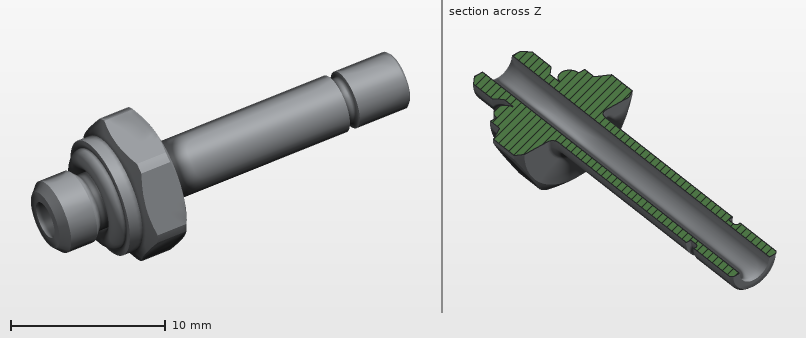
import cadquery as cq
import math

length = 26.0
bore_radius = 1.25

thread_radius = 2.5
neck_radius = 1.95
thread_chamfer = thread_radius - neck_radius
thread_end = 2.47

flange_radius = 4.0
flange_start = 4.05
ring_outer_radius = 3.48
ring_section_radius = (ring_outer_radius - neck_radius) / 2
ring_center_radius = neck_radius + ring_section_radius

hex_across_flats = 9.0
hex_corner_radius = 10.0 / 2
hex_start = 5.0
hex_end = 8.03
hex_rear_face_radius = 4.42
hex_chamfer_slope = math.tan(math.radians(30))

tube_radius = 1.98
tube_root_fillet = 0.5
tube_end_chamfer = 0.18

groove_radius = 3.2 / 2
groove_start = 21.45
groove_end = 22.18
groove_fillet = 0.2

fillet_mid_offset = 1 - math.sqrt(0.5)


def revolve_about_axis(points):
    """Revolve a closed (radius, Y) outline around the Y axis."""
    return cq.Workplane("XY").polyline(points).close().revolve(360, (0, 0, 0), (0, 1, 0))


def make_front_end():
    """Chamfered thread, neck and flange."""
    return revolve_about_axis([
        (0, 0),
        (thread_radius - thread_chamfer, 0),
        (thread_radius, thread_chamfer),
        (thread_radius, thread_end),
        (neck_radius, thread_end + thread_chamfer),
        (neck_radius, flange_start),
        (flange_radius, flange_start),
        (flange_radius, hex_start),
        (0, hex_start),
    ])


def make_sealing_ring():
    """Round-section ring sunk into the flange face up to its middle."""
    return (
        cq.Workplane("XY")
        .center(ring_center_radius, flange_start)
        .circle(ring_section_radius)
        .revolve(360, (-ring_center_radius, 0, 0), (-ring_center_radius, 1, 0))
    )


def make_hexagon():
    """Hexagonal prism trimmed by a turned envelope that chamfers both ends."""
    prism = (
        cq.Workplane("XZ", origin=(0, hex_start, 0))
        .polygon(6, hex_across_flats / math.cos(math.radians(30)))
        .extrude(hex_start - hex_end)
    )
    front_chamfer = (hex_corner_radius - flange_radius) * hex_chamfer_slope
    rear_chamfer = (hex_corner_radius - hex_rear_face_radius) * hex_chamfer_slope
    envelope = revolve_about_axis([
        (0, hex_start),
        (flange_radius, hex_start),
        (hex_corner_radius, hex_start + front_chamfer),
        (hex_corner_radius, hex_end - rear_chamfer),
        (hex_rear_face_radius, hex_end),
        (0, hex_end),
    ])
    return prism.intersect(envelope)


def make_tube():
    """Tube with a concave root fillet, a retaining groove and a chamfered end."""
    root_inset = tube_root_fillet * fillet_mid_offset
    root_start = (tube_radius + tube_root_fillet, hex_end)
    root_middle = (tube_radius + root_inset, hex_end + root_inset)
    root_end = (tube_radius, hex_end + tube_root_fillet)
    shoulder_inset = groove_fillet * fillet_mid_offset
    shoulder_start = (groove_radius, groove_end - groove_fillet)
    shoulder_middle = (groove_radius + shoulder_inset, groove_end - shoulder_inset)
    shoulder_end = (groove_radius + groove_fillet, groove_end)
    return (
        cq.Workplane("XY")
        .moveTo(0, hex_end)
        .lineTo(*root_start)
        .threePointArc(root_middle, root_end)
        .lineTo(tube_radius, groove_start)
        .lineTo(groove_radius, groove_start)
        .lineTo(*shoulder_start)
        .threePointArc(shoulder_middle, shoulder_end)
        .lineTo(tube_radius, groove_end)
        .lineTo(tube_radius, length - tube_end_chamfer)
        .lineTo(tube_radius - tube_end_chamfer, length)
        .lineTo(0, length)
        .close()
        .revolve(360, (0, 0, 0), (0, 1, 0))
    )


bore = cq.Workplane("XZ").circle(bore_radius).extrude(-length)

body = make_front_end().union(make_sealing_ring()).union(make_hexagon()).union(make_tube())
result = body.cut(bore)